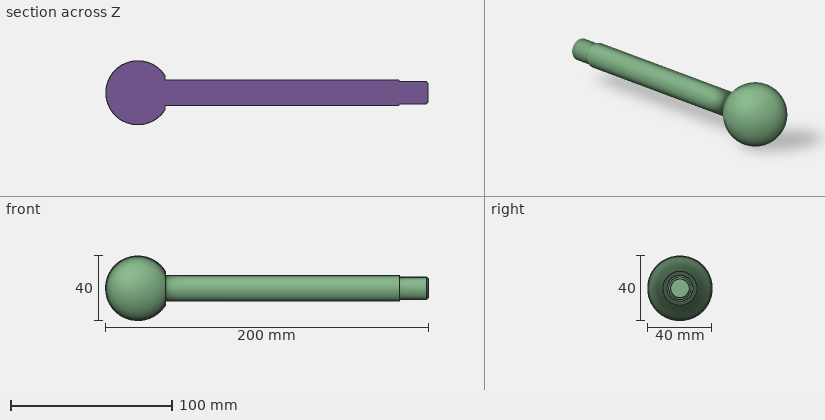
import cadquery as cq
import math

total_length = 200.0
ball_diameter = 40.0
ball_length = 37.0
shaft_diameter = 16.0
spigot_diameter = 14.0
spigot_length = 18.0
spigot_chamfer = 1.2
root_fillet = 0.6

ball_radius = ball_diameter / 2
shaft_radius = shaft_diameter / 2
spigot_radius = spigot_diameter / 2

ball_tip_x = -ball_radius
ball_flat_x = ball_tip_x + ball_length
lever_end_x = ball_tip_x + total_length
shoulder_x = lever_end_x - spigot_length

ball_flat_radius = math.sqrt(ball_radius**2 - ball_flat_x**2)

fillet_offset = root_fillet * (1 - math.cos(math.radians(45)))

half_outline = (
    cq.Workplane("XZ")
    .moveTo(ball_tip_x, 0)
    .threePointArc((0, ball_radius), (ball_flat_x, ball_flat_radius))
    .lineTo(ball_flat_x, shaft_radius)
    .lineTo(shoulder_x, shaft_radius)
    .lineTo(shoulder_x, spigot_radius + root_fillet)
    .threePointArc(
        (shoulder_x + fillet_offset, spigot_radius + fillet_offset),
        (shoulder_x + root_fillet, spigot_radius),
    )
    .lineTo(lever_end_x - spigot_chamfer, spigot_radius)
    .lineTo(lever_end_x, spigot_radius - spigot_chamfer)
    .lineTo(lever_end_x, 0)
    .close()
)

result = half_outline.revolve(360, (0, 0, 0), (1, 0, 0))